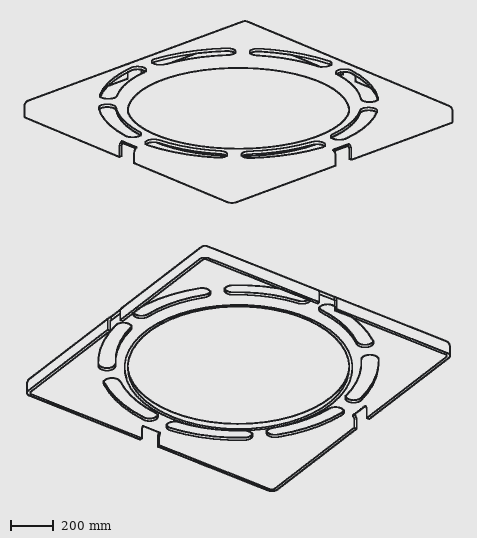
import cadquery as cq
import math

side = 1440.0
height = 80.0
bend_radius = 30.0
sheet = bend_radius / 2
inner_bend_radius = bend_radius - sheet

hole_radius = 520.0
rim_depth = 43.0

slot_count = 8
slot_ring_radius = 618.0
slot_width = 80.0
slot_half_angle = 15.7

notch_width = 101.0
notch_bend_angle = 27.0


def rounded_block(width, block_height, radius):
    """Square block on Z = 0 with rounded upright and top edges."""
    block = cq.Workplane("XY").box(width, width, block_height, centered=(True, True, False))
    return block.edges("|Z").fillet(radius).faces(">Z").edges().fillet(radius)


def make_shell():
    outside = rounded_block(side, height, bend_radius)
    inside = rounded_block(side - 2 * sheet, height - sheet, inner_bend_radius)
    return outside.cut(inside)


def make_rim():
    """Revolved rim: quarter bend from the flat sheet into a short upright lip."""
    bend_centre_r = hole_radius + bend_radius
    bend_centre_z = height - bend_radius
    rim_bottom = height - rim_depth
    diagonal = math.sqrt(0.5)
    outer_mid = (bend_centre_r - bend_radius * diagonal, bend_centre_z + bend_radius * diagonal)
    inner_mid = (
        bend_centre_r - inner_bend_radius * diagonal,
        bend_centre_z + inner_bend_radius * diagonal,
    )
    profile = (
        cq.Workplane("XZ")
        .moveTo(hole_radius, rim_bottom)
        .lineTo(hole_radius, bend_centre_z)
        .threePointArc(outer_mid, (bend_centre_r, height))
        .lineTo(bend_centre_r, height - sheet)
        .threePointArc(inner_mid, (hole_radius + sheet, bend_centre_z))
        .lineTo(hole_radius + sheet, rim_bottom)
        .close()
    )
    return profile.revolve(360, (0, 0, 0), (0, 1, 0))


def make_slot(middle_angle):
    """Arc-shaped cutter with round ends, centred on the given angle in degrees."""

    def point(radius, offset):
        angle = math.radians(middle_angle + offset)
        return (radius * math.cos(angle), radius * math.sin(angle))

    inner = slot_ring_radius - slot_width / 2
    outer = slot_ring_radius + slot_width / 2
    cap_angle = slot_half_angle + math.degrees(slot_width / 2 / slot_ring_radius)
    return (
        cq.Workplane("XY")
        .moveTo(*point(outer, -slot_half_angle))
        .threePointArc(point(outer, 0), point(outer, slot_half_angle))
        .threePointArc(point(slot_ring_radius, cap_angle), point(inner, slot_half_angle))
        .threePointArc(point(inner, 0), point(inner, -slot_half_angle))
        .threePointArc(point(slot_ring_radius, -cap_angle), point(outer, -slot_half_angle))
        .close()
        .extrude(height)
    )


def make_notch(angle):
    """Cutter that removes the skirt in the middle of one side, ending square to the bent sheet."""
    bend_centre_x = side / 2 - bend_radius
    bend_centre_z = height - bend_radius
    cut_run = bend_radius * math.tan(math.radians(notch_bend_angle))
    cut_top = (bend_centre_x + cut_run, height)
    notch = (
        cq.Workplane("XZ")
        .moveTo(bend_centre_x, 0)
        .lineTo(bend_centre_x, bend_centre_z)
        .lineTo(*cut_top)
        .lineTo(side / 2, height)
        .lineTo(side / 2, 0)
        .close()
        .extrude(notch_width / 2, both=True)
    )
    return notch.rotate((0, 0, 0), (0, 0, 1), angle)


rim_opening = cq.Workplane("XY").circle(hole_radius + bend_radius).extrude(height)
result = make_shell().cut(rim_opening).union(make_rim())

slot_pitch = 360 / slot_count
for index in range(slot_count):
    result = result.cut(make_slot((index + 0.5) * slot_pitch))

for side_angle in (0, 90, 180, 270):
    result = result.cut(make_notch(side_angle))